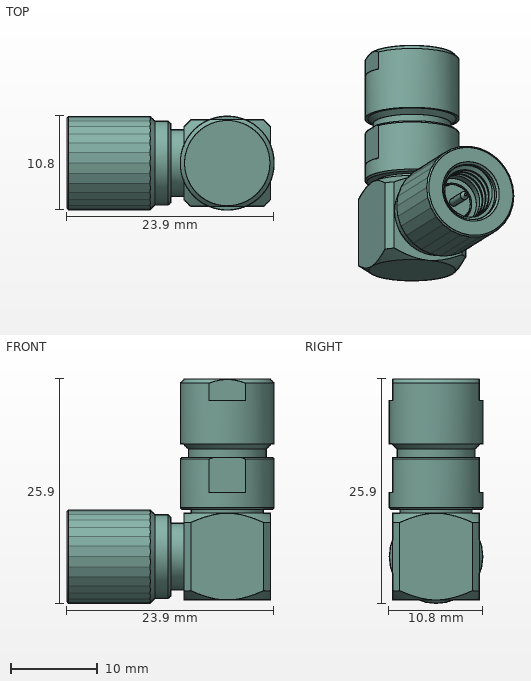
import cadquery as cq
import math


BLOCK_SIZE = 10.0
BLOCK_EDGE_CHAMFER = 0.8
BLOCK_CONE_ANGLE = 35.0
HALF_BLOCK = BLOCK_SIZE / 2

CLAMP_RADIUS = 5.42
FLAT_OFFSET = 5.0
LOWER_NECK_RADIUS = 4.17
LOWER_CLAMP_BASE = 5.45
LOWER_CLAMP_TOP = 11.45
LOWER_CLAMP_CHAMFER = 0.2
LOWER_FLAT_BASE = 7.4
UPPER_NECK_RADIUS = 4.5
UPPER_CONE_BASE = 12.4
UPPER_CLAMP_BASE = 13.0
UPPER_CLAMP_TOP = 20.5
UPPER_CLAMP_CHAMFER = 0.5
UPPER_FLAT_BASE = 18.0

NUT_RADIUS = 5.4
NUT_SIDES = 28
NUT_FRONT = -18.48
NUT_FRONT_CHAMFER = 0.2
NUT_REAR = -8.9
COLLAR_RADIUS = 4.84
COLLAR_REAR = -6.5
COLLAR_CHAMFER = 0.3
NECK_RADIUS = 3.87

SOCKET_MOUTH_RADIUS = 3.52
SOCKET_RADIUS = 3.27
SOCKET_RELIEF_DEPTH = 0.8
THREAD_CREST_RADIUS = 2.85
THREAD_PITCH = 1.0
THREAD_CREST_WIDTH = 0.28
THREAD_ROOT_RADIUS = 3.37
THREAD_ANGLE = 60.0
THREAD_OVERLAP = 0.1
THREAD_START_DEPTH = 0.45
THREAD_START_ANGLE = 35.0
THREAD_TURNS = 4.25
SOCKET_DEPTH = 5.5

INSULATOR_RADIUS = 2.1
INSULATOR_GAP = 0.17
INSULATOR_GAP_DEPTH = 0.5
PIN_RADIUS = 0.47
PIN_TIP_RADIUS = 0.13
PIN_TIP_LENGTH = 0.4
PIN_TIP_DEPTH = 1.7


def turned_about_z(profile):
    """Revolve (radius, z) points about the Z axis."""
    return cq.Workplane("XZ").polyline(profile).close().revolve(360, (0, 0), (0, 1))


def turned_about_x(profile):
    """Revolve (x, radius) points about the X axis."""
    return cq.Workplane("XY").polyline(profile).close().revolve(360, (0, 0), (1, 0))


def make_block():
    """Cube with chamfered upright edges and corners turned off at both ends."""
    block = cq.Workplane("XY").box(BLOCK_SIZE, BLOCK_SIZE, BLOCK_SIZE)
    block = block.edges("|Z").chamfer(BLOCK_EDGE_CHAMFER)
    outer_radius = BLOCK_SIZE
    cone_drop = (outer_radius - HALF_BLOCK) * math.tan(math.radians(BLOCK_CONE_ANGLE))
    cone_end = HALF_BLOCK - cone_drop
    envelope = turned_about_z([
        (0, -HALF_BLOCK),
        (HALF_BLOCK, -HALF_BLOCK),
        (outer_radius, -cone_end),
        (outer_radius, cone_end),
        (HALF_BLOCK, HALF_BLOCK),
        (0, HALF_BLOCK),
    ])
    return block.intersect(envelope)


def cut_flats(clamp, base, top):
    """Mill two parallel flats facing -Y and +Y between two heights."""
    depth = CLAMP_RADIUS
    for side in (-1, 1):
        cutter = cq.Workplane("XY").box(2 * CLAMP_RADIUS, depth, top - base)
        cutter = cutter.translate((0, side * (FLAT_OFFSET + depth / 2), (base + top) / 2))
        clamp = clamp.cut(cutter)
    return clamp


def make_clamp():
    """Two clamp sections stacked on their necks, each with a pair of flats."""
    lower_rim = CLAMP_RADIUS - LOWER_CLAMP_CHAMFER
    cone_radius = UPPER_NECK_RADIUS + UPPER_CLAMP_BASE - UPPER_CONE_BASE
    clamp = turned_about_z([
        (0, 0),
        (LOWER_NECK_RADIUS, 0),
        (LOWER_NECK_RADIUS, LOWER_CLAMP_BASE),
        (lower_rim, LOWER_CLAMP_BASE),
        (CLAMP_RADIUS, LOWER_CLAMP_BASE + LOWER_CLAMP_CHAMFER),
        (CLAMP_RADIUS, LOWER_CLAMP_TOP - LOWER_CLAMP_CHAMFER),
        (lower_rim, LOWER_CLAMP_TOP),
        (UPPER_NECK_RADIUS, LOWER_CLAMP_TOP),
        (UPPER_NECK_RADIUS, UPPER_CONE_BASE),
        (cone_radius, UPPER_CLAMP_BASE),
        (CLAMP_RADIUS, UPPER_CLAMP_BASE),
        (CLAMP_RADIUS, UPPER_CLAMP_TOP - UPPER_CLAMP_CHAMFER),
        (CLAMP_RADIUS - UPPER_CLAMP_CHAMFER, UPPER_CLAMP_TOP),
        (0, UPPER_CLAMP_TOP),
    ])
    clamp = cut_flats(clamp, LOWER_FLAT_BASE, LOWER_CLAMP_TOP)
    return cut_flats(clamp, UPPER_FLAT_BASE, UPPER_CLAMP_TOP)


def make_nut():
    """Many-sided grip with turned ends, followed by the collar and neck."""
    envelope = turned_about_x([
        (NUT_FRONT, 0),
        (NUT_FRONT, NUT_RADIUS - NUT_FRONT_CHAMFER),
        (NUT_FRONT + NUT_FRONT_CHAMFER, NUT_RADIUS),
        (NUT_REAR, NUT_RADIUS),
        (NUT_REAR + NUT_RADIUS - COLLAR_RADIUS, COLLAR_RADIUS),
        (COLLAR_REAR - COLLAR_CHAMFER, COLLAR_RADIUS),
        (COLLAR_REAR, COLLAR_RADIUS - COLLAR_CHAMFER),
        (COLLAR_REAR, NECK_RADIUS),
        (0, NECK_RADIUS),
        (0, 0),
    ])
    grip = cq.Workplane("YZ").polygon(NUT_SIDES, 2 * NUT_RADIUS).extrude(NUT_FRONT)
    return envelope.intersect(grip)


def make_bore():
    """Void of the socket before threading: chamfered mouth, relief, bore and insulator gap."""
    mouth_chamfer = SOCKET_MOUTH_RADIUS - SOCKET_RADIUS
    relief_end = NUT_FRONT + SOCKET_RELIEF_DEPTH
    floor = NUT_FRONT + SOCKET_DEPTH
    gap_floor = floor + INSULATOR_GAP_DEPTH
    gap_radius = INSULATOR_RADIUS + INSULATOR_GAP
    return turned_about_x([
        (NUT_FRONT, 0),
        (NUT_FRONT, SOCKET_MOUTH_RADIUS),
        (NUT_FRONT + mouth_chamfer, SOCKET_RADIUS),
        (relief_end, SOCKET_RADIUS),
        (relief_end, THREAD_CREST_RADIUS),
        (floor, THREAD_CREST_RADIUS),
        (floor, gap_radius),
        (gap_floor, gap_radius),
        (gap_floor, INSULATOR_RADIUS),
        (floor, INSULATOR_RADIUS),
        (floor, 0),
    ])


def make_thread_groove():
    """Helical groove with straight flanks, coiled along X and starting at the end of the relief."""
    flank_slope = math.tan(math.radians(THREAD_ANGLE / 2))
    inner_radius = THREAD_CREST_RADIUS - THREAD_OVERLAP
    half_root = (THREAD_PITCH - THREAD_CREST_WIDTH) / 2
    half_root -= (THREAD_ROOT_RADIUS - THREAD_CREST_RADIUS) * flank_slope
    half_mouth = half_root + (THREAD_ROOT_RADIUS - inner_radius) * flank_slope
    section = cq.Workplane("XZ").polyline([
        (inner_radius, -half_mouth),
        (THREAD_ROOT_RADIUS, -half_root),
        (THREAD_ROOT_RADIUS, half_root),
        (inner_radius, half_mouth),
    ]).close()
    helix = cq.Wire.makeHelix(THREAD_PITCH, THREAD_TURNS * THREAD_PITCH, THREAD_CREST_RADIUS)
    groove = section.sweep(cq.Workplane(obj=helix), isFrenet=True)
    groove = groove.rotate((0, 0, 0), (0, 0, 1), THREAD_START_ANGLE)
    groove = groove.rotate((0, 0, 0), (0, 1, 0), 90)
    groove = groove.translate((NUT_FRONT + THREAD_START_DEPTH, 0, 0))
    relief_end = NUT_FRONT + SOCKET_RELIEF_DEPTH
    threaded_zone = cq.Workplane("YZ").circle(NUT_RADIUS).extrude(SOCKET_DEPTH)
    return groove.intersect(threaded_zone.translate((relief_end, 0, 0)))


def make_pin():
    """Centre contact with a tapered tip, rooted behind the socket floor."""
    tip = NUT_FRONT + PIN_TIP_DEPTH
    root = NUT_FRONT + SOCKET_DEPTH + INSULATOR_GAP_DEPTH
    return turned_about_x([
        (tip, 0),
        (tip, PIN_TIP_RADIUS),
        (tip + PIN_TIP_LENGTH, PIN_RADIUS),
        (root, PIN_RADIUS),
        (root, 0),
    ])


body = make_block().union(make_clamp()).union(make_nut())
result = body.cut(make_bore()).cut(make_thread_groove()).union(make_pin())